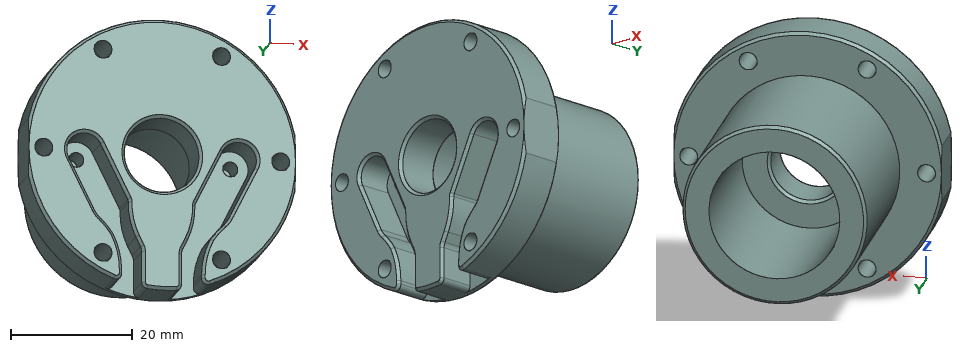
import cadquery as cq
import math

EDGE_CHAMFER = 0.5

FLANGE_RADIUS = 23.0
FLANGE_THICKNESS = 8.0
WIDTH_ACROSS_FLATS = 45.0

TOTAL_LENGTH = 33.9
BARREL_RADIUS = 31.0 / 2
BARREL_LENGTH = TOTAL_LENGTH - FLANGE_THICKNESS

BORE_DIAMETER = 12.6
COUNTERBORE_DIAMETER = 22.0
NARROW_BORE_LENGTH = FLANGE_THICKNESS

MOUNT_HOLE_DIAMETER = 3.0
MOUNT_HOLE_COUNT = 6
MOUNT_CIRCLE_RADIUS = 20.0

CHANNEL_DEPTH = 6.5
CHANNEL_END_X = 13.0
CHANNEL_END_RADIUS = 3.0
CHANNEL_TILT = math.radians(26.5)
TONGUE_HALF_WIDTH = 3.35
TONGUE_SHOULDER_Z = -16.2
TONGUE_ARC_TOP_Z = -8.1
TONGUE_ARC_BOTTOM_Z = -14.2
TONGUE_ARC_RADIUS = 13.0
LEG_INNER_X = 6.75
LEG_ARC_BOTTOM_Z = -20.0
LEG_ARC_RADIUS = 13.5
LEG_ARC_TOP_Z = -13.9
RAMP_TOP_Z = -10.8
RAMP_RADIUS = 13.0
TONGUE_TOP_BEND_RADIUS = 1.0
TONGUE_SHOULDER_BEND_RADIUS = 2.0
RAMP_BEND_RADIUS = 4.0
TIP_RADIUS = 1.0

FLOOR_HOLE_DIAMETER = 2.5
FLOOR_HOLE_DEPTH = 5.0

FRONT_PLANE = cq.Workplane("XZ", origin=(0, -FLANGE_THICKNESS, 0))


def arc_midpoint(start, end, radius):
    """Middle of the shallow arc from start to end, bulging to the left of travel."""
    dx = end[0] - start[0]
    dz = end[1] - start[1]
    chord = math.hypot(dx, dz)
    sagitta = radius - math.sqrt(radius**2 - (chord / 2) ** 2)
    mid_x = (start[0] + end[0]) / 2 - sagitta * dz / chord
    mid_z = (start[1] + end[1]) / 2 + sagitta * dx / chord
    return mid_x, mid_z


def nearest_to(x, z):
    """Select the edge nearest to (x, z) at half the channel depth."""
    mid_y = -FLANGE_THICKNESS + CHANNEL_DEPTH / 2
    return cq.selectors.NearestToPointSelector((x, mid_y, z))


def make_channel():
    """Channel on the +X side, running out past the rim."""
    offset_x = CHANNEL_END_RADIUS * math.cos(CHANNEL_TILT)
    offset_z = CHANNEL_END_RADIUS * math.sin(CHANNEL_TILT)
    inner_tangent = (CHANNEL_END_X - offset_x, offset_z)
    outer_tangent = (CHANNEL_END_X + offset_x, -offset_z)
    end_top = (CHANNEL_END_X + offset_z, offset_x)

    def on_wall(wall_point, z):
        """Point at height z on the tilted line through a given wall point."""
        return wall_point[0] + (z - wall_point[1]) * math.tan(CHANNEL_TILT), z

    tongue_top = on_wall(inner_tangent, TONGUE_ARC_TOP_Z)
    tongue_shoulder = (TONGUE_HALF_WIDTH, TONGUE_SHOULDER_Z)
    tongue_arc_bottom = on_wall(tongue_shoulder, TONGUE_ARC_BOTTOM_Z)
    ramp_top = on_wall(outer_tangent, RAMP_TOP_Z)

    arc_rise = LEG_ARC_TOP_Z - LEG_ARC_BOTTOM_Z
    arc_run = LEG_ARC_RADIUS - math.sqrt(LEG_ARC_RADIUS**2 - arc_rise**2)
    leg_top = (LEG_INNER_X + arc_run, LEG_ARC_TOP_Z)
    leg_bottom = (LEG_INNER_X, LEG_ARC_BOTTOM_Z)

    tongue_arc_middle = arc_midpoint(tongue_top, tongue_arc_bottom, TONGUE_ARC_RADIUS)
    leg_arc_middle = arc_midpoint(leg_bottom, leg_top, LEG_ARC_RADIUS)
    ramp_middle = arc_midpoint(leg_top, ramp_top, RAMP_RADIUS)
    beyond_rim = -1.1 * FLANGE_RADIUS
    channel = (
        FRONT_PLANE.moveTo(*inner_tangent)
        .lineTo(*tongue_top)
        .threePointArc(tongue_arc_middle, tongue_arc_bottom)
        .lineTo(*tongue_shoulder)
        .lineTo(TONGUE_HALF_WIDTH, beyond_rim)
        .lineTo(LEG_INNER_X, beyond_rim)
        .lineTo(*leg_bottom)
        .threePointArc(leg_arc_middle, leg_top)
        .threePointArc(ramp_middle, ramp_top)
        .lineTo(*outer_tangent)
        .threePointArc(end_top, inner_tangent)
        .close()
        .extrude(-CHANNEL_DEPTH)
    )
    bends = (
        (tongue_top, TONGUE_TOP_BEND_RADIUS),
        (tongue_shoulder, TONGUE_SHOULDER_BEND_RADIUS),
        (ramp_top, RAMP_BEND_RADIUS),
    )
    for (bend_x, bend_z), bend_radius in bends:
        channel = channel.edges(nearest_to(bend_x, bend_z)).fillet(bend_radius)
    return channel


def make_flange():
    flange = cq.Workplane("XZ").circle(FLANGE_RADIUS).extrude(FLANGE_THICKNESS)
    channel = make_channel()
    flange = flange.cut(channel).cut(channel.mirror("YZ"))

    for side in (-1, 1):
        for wall_x in (TONGUE_HALF_WIDTH, LEG_INNER_X):
            tip_z = -math.sqrt(FLANGE_RADIUS**2 - wall_x**2)
            flange = flange.edges(nearest_to(side * wall_x, tip_z)).fillet(TIP_RADIUS)

    flange = flange.faces("<Y").chamfer(EDGE_CHAMFER)
    flange = flange.faces(">Y").chamfer(EDGE_CHAMFER)

    between_flats = cq.Workplane("XY").box(WIDTH_ACROSS_FLATS, 4 * FLANGE_THICKNESS, 4 * FLANGE_RADIUS)
    return flange.intersect(between_flats)


def make_barrel():
    barrel = cq.Workplane("XZ").circle(BARREL_RADIUS).extrude(-BARREL_LENGTH)
    return barrel.faces(">Y").chamfer(EDGE_CHAMFER)


def cut_bore(body):
    body = body.cut(FRONT_PLANE.circle(BORE_DIAMETER / 2).extrude(-TOTAL_LENGTH))
    body = body.cut(
        FRONT_PLANE.workplane(offset=-NARROW_BORE_LENGTH)
        .circle(COUNTERBORE_DIAMETER / 2)
        .extrude(-TOTAL_LENGTH)
    )

    rim_radius = BORE_DIAMETER / 2 + EDGE_CHAMFER
    for mouth_depth, slope_length in ((0, EDGE_CHAMFER), (NARROW_BORE_LENGTH, -EDGE_CHAMFER)):
        mouth = (
            FRONT_PLANE.workplane(offset=-mouth_depth)
            .circle(rim_radius)
            .workplane(offset=-slope_length)
            .circle(BORE_DIAMETER / 2)
            .loft()
        )
        body = body.cut(mouth)
    return body


def cut_holes(body):
    mount_holes = (
        FRONT_PLANE.polarArray(MOUNT_CIRCLE_RADIUS, 0, 360, MOUNT_HOLE_COUNT)
        .circle(MOUNT_HOLE_DIAMETER / 2)
        .extrude(-FLANGE_THICKNESS)
    )
    floor_holes = (
        FRONT_PLANE.pushPoints([(-CHANNEL_END_X, 0), (CHANNEL_END_X, 0)])
        .circle(FLOOR_HOLE_DIAMETER / 2)
        .extrude(-CHANNEL_DEPTH - FLOOR_HOLE_DEPTH)
    )
    return body.cut(mount_holes).cut(floor_holes)


result = cut_holes(cut_bore(make_flange().union(make_barrel())))